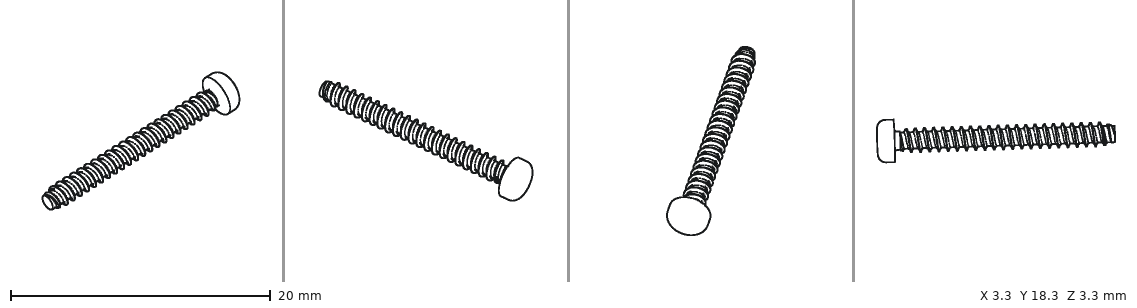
import cadquery as cq
import math

total_length = 18.3
head_radius = 1.65
head_height = 1.3
head_edge_radius = 0.64
underside = total_length - head_height

collar_radius = 0.71
collar_length = 0.44
collar_fillet = 0.25
collar_end = underside - collar_length

turns = 24
helix_length = 17.04
pitch = helix_length / turns
first_crest = -0.18
core_radius = 0.64
core_overrun = 0.55
buried_radius = 0.59
shoulder_radius = 0.75
crest_radius = 0.93
foot_half_width = 0.25
shoulder_half_width = 0.082
crest_half_width = 0.025
flank_steps = 6

runout_length = 1.08
runout_end_radius = 0.62
envelope_clearance = 0.05


def revolve_about_y(half_outline):
    return half_outline.close().revolve(360, (0, 0, 0), (0, 1, 0))


def make_head():
    """Rounded head with the collar and the fillet below it."""
    half_outline = (
        cq.Workplane("XY")
        .moveTo(0, collar_end)
        .lineTo(collar_radius, collar_end)
        .lineTo(collar_radius, underside - collar_fillet)
        .radiusArc((collar_radius + collar_fillet, underside), collar_fillet)
        .lineTo(head_radius, underside)
        .lineTo(head_radius, total_length - head_edge_radius)
        .radiusArc((head_radius - head_edge_radius, total_length), -head_edge_radius)
        .lineTo(0, total_length)
    )
    return revolve_about_y(half_outline)


def polar(radius, angle):
    return (radius * math.cos(angle), radius * math.sin(angle))


def angle_of(axial_offset):
    """Angle about the axis at which the helix climbs the given axial distance."""
    return 2 * math.pi * axial_offset / pitch


def add_flank(section, start, end, side):
    """Add the spiral that a straight thread flank leaves in a plane across the axis.

    The flank runs between two (radius, half width) corners of the ridge profile.
    """
    points = []
    for step in range(1, flank_steps + 1):
        t = step / flank_steps
        radius = start[0] + t * (end[0] - start[0])
        half_width = start[1] + t * (end[1] - start[1])
        points.append(polar(radius, side * angle_of(half_width)))
    return section.spline(points, includeCurrent=True)


def make_ridge():
    """Right-hand ridge on a thinner rod: one cross-section twisted along the axis."""
    foot = (buried_radius, foot_half_width)
    shoulder = (shoulder_radius, shoulder_half_width)
    crest = (crest_radius, crest_half_width)
    crest_end = polar(crest_radius, angle_of(crest_half_width))
    foot_start = polar(buried_radius, -angle_of(foot_half_width))

    section = cq.Workplane("XY").moveTo(*foot_start)
    section = add_flank(section, foot, shoulder, -1)
    section = add_flank(section, shoulder, crest, -1)
    section = section.threePointArc((crest_radius, 0), crest_end)
    section = add_flank(section, crest, shoulder, 1)
    section = add_flank(section, shoulder, foot, 1)
    section = section.threePointArc((-buried_radius, 0), foot_start).close()

    ridge = section.twistExtrude(helix_length, turns * 360)
    return ridge.rotate((0, 0, 0), (1, 0, 0), -90).translate((0, first_crest, 0))


def make_runout_envelope():
    """Bar from tip to collar with a cone at each end, wider than the crest in between."""
    cone_slope = (crest_radius - runout_end_radius) / runout_length
    bar_radius = crest_radius + envelope_clearance
    cone_length = runout_length + envelope_clearance / cone_slope
    half_outline = (
        cq.Workplane("XY")
        .lineTo(runout_end_radius, 0)
        .lineTo(bar_radius, cone_length)
        .lineTo(bar_radius, underside - cone_length)
        .lineTo(runout_end_radius + cone_slope * collar_length, collar_end)
        .lineTo(0, collar_end)
    )
    return revolve_about_y(half_outline)


def make_shank():
    """Plain core with the ridge on it, both trimmed by the run-out envelope."""
    core_length = collar_end + 2 * core_overrun
    core = (
        cq.Workplane("XZ", origin=(0, -core_overrun, 0))
        .circle(core_radius)
        .extrude(-core_length)
    )
    return core.union(make_ridge()).intersect(make_runout_envelope())


result = make_head().union(make_shank())